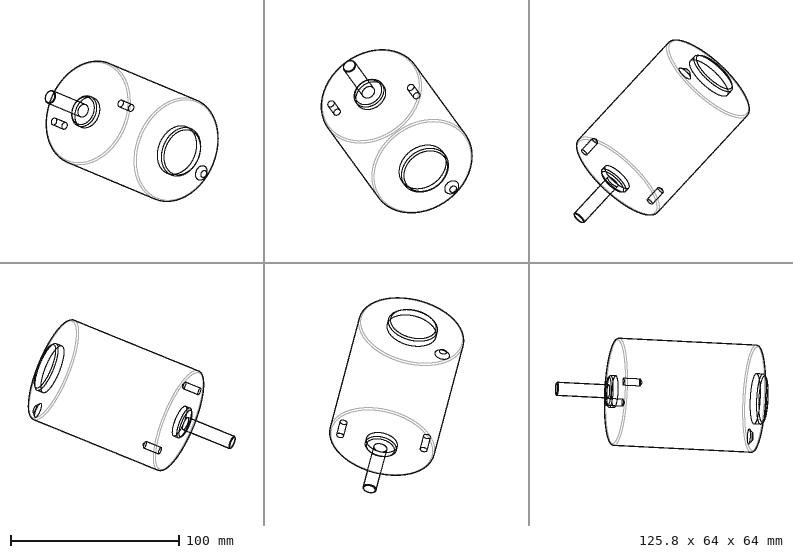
import cadquery as cq
import math


housing_diameter = 64.01
housing_length = 85.3
housing_edge_radius = 1.0

pilot_diameter = 19.05
pilot_length = 4.0
pilot_chamfer = 1.0
shaft_diameter = 7.94
shaft_reach = 35.5
shaft_chamfer = 0.4

rear_boss_diameter = 30.0
rear_boss_length = 5.02
rear_boss_chamfer = 1.1

button_base_diameter = 8.9
button_tip_diameter = 4.3
button_height = 2.2
button_offset = 18.6

hole_spacing = 50.8
hole_diameter = 4.2
hole_depth = 10.0
drill_point_angle = 118.0


def chamfered_cylinder(x_start, x_end, diameter, front_chamfer=0.0, rear_chamfer=0.0):
    """Cylinder about the X axis with an optional 45 degree chamfer at each end."""
    body = cq.Workplane("YZ", origin=(x_start, 0, 0)).circle(diameter / 2).extrude(x_end - x_start)
    if front_chamfer:
        body = body.faces("<X").chamfer(front_chamfer)
    if rear_chamfer:
        body = body.faces(">X").chamfer(rear_chamfer)
    return body


def turned_cone(base_radius, tip_radius, height, base_point):
    """Cone frustum that narrows toward +X from base_point."""
    cone = cq.Solid.makeCone(base_radius, tip_radius, height, cq.Vector(*base_point), cq.Vector(1, 0, 0))
    return cq.Workplane(obj=cone)


def mounting_hole(y):
    """Cutter for one drilled hole: a cylinder ending in a drill point."""
    radius = hole_diameter / 2
    point_length = radius / math.tan(math.radians(drill_point_angle / 2))
    bore = chamfered_cylinder(0, hole_depth, hole_diameter)
    point = turned_cone(radius, 0, point_length, (hole_depth, 0, 0))
    return bore.union(point).translate((0, y, 0))


housing = chamfered_cylinder(0, housing_length, housing_diameter)
housing = housing.faces("<X or >X").edges().fillet(housing_edge_radius)
pilot = chamfered_cylinder(-pilot_length, 0, pilot_diameter, front_chamfer=pilot_chamfer)
shaft = chamfered_cylinder(-shaft_reach, 0, shaft_diameter, front_chamfer=shaft_chamfer)
rear_boss = chamfered_cylinder(
    housing_length,
    housing_length + rear_boss_length,
    rear_boss_diameter,
    rear_chamfer=rear_boss_chamfer,
)
button = turned_cone(
    button_base_diameter / 2,
    button_tip_diameter / 2,
    button_height,
    (housing_length, button_offset, -button_offset),
)

result = housing.union(pilot).union(shaft).union(rear_boss).union(button)
for side in (-1, 1):
    result = result.cut(mounting_hole(side * hole_spacing / 2))